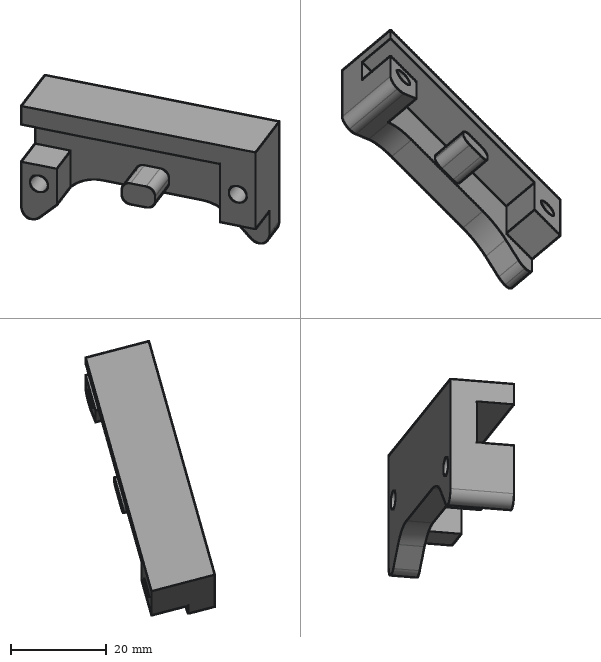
import cadquery as cq
import math

length = 52.5
depth = 13.7
half_length = length / 2

arch_height = 19.2
arch_blend_radius = 10.0
slope_angle = math.radians(45)
foot_bottom = 26.94
foot_tip_inset = 2.2
foot_tip_radius = 2.8

pocket_depth = 8.0
top_bar_height = 4.5
corner_block_width = 8.0
left_block_top = 13.5
right_block_bottom = 18.6

hole_diameter = 4.0
hole_edge_distance = corner_block_width / 2
left_hole_depth = 18.0
right_hole_depth = 11.0

peg_width = 7.5
peg_height = 5.1
peg_corner_radius = 2.0


def extrude_back(profile, distance):
    """Extrude an XZ profile from the front face toward +Y."""
    return profile.extrude(-distance)


def front_box(x_min, x_max, z_min, z_max):
    """Box reaching from the front face to the pocket floor."""
    size = (x_max - x_min, pocket_depth, z_max - z_min)
    return cq.Workplane("XY").box(*size, centered=False).translate((x_min, 0, z_min))


def polar(center, radius, angle):
    """Point on a circle in XZ, at an angle in radians measured from +X toward +Z."""
    return (center[0] + radius * math.cos(angle), center[1] + radius * math.sin(angle))


def make_half_body():
    """The +X half: arch flat, arch rounding, 45 degree slope and rounded foot."""
    down = math.radians(-90)
    up = math.radians(90)

    tip_center = (half_length - foot_tip_inset, foot_tip_radius - foot_bottom)
    arch_center_z = -arch_height - arch_blend_radius
    center_rise = tip_center[1] - arch_center_z
    radius_sum = foot_tip_radius + arch_blend_radius
    center_gap = (radius_sum - center_rise * math.cos(slope_angle)) / math.sin(slope_angle)
    arch_center = (tip_center[0] - center_gap, arch_center_z)

    def arch_point(turn):
        return polar(arch_center, arch_blend_radius, up - turn)

    def tip_point(turn):
        return polar(tip_center, foot_tip_radius, down - turn)

    profile = (
        cq.Workplane("XZ")
        .lineTo(0, -arch_height)
        .lineTo(*arch_point(0))
        .threePointArc(arch_point(slope_angle / 2), arch_point(slope_angle))
        .lineTo(*tip_point(slope_angle))
        .threePointArc(tip_point(slope_angle / 2), tip_point(0))
        .ellipseArc(foot_tip_inset, foot_tip_radius, 270, 360)
        .lineTo(half_length, 0)
        .close()
    )
    return extrude_back(profile, depth)


def make_body():
    half = make_half_body()
    return half.union(half.mirror("YZ"))


def make_pocket():
    """Region removed from the front: everything but the top bar and corner blocks."""
    block_edge = half_length - corner_block_width
    pocket = front_box(-half_length, half_length, -foot_bottom, -top_bar_height)
    left_block = front_box(-half_length, -block_edge, -foot_bottom, -left_block_top)
    right_block = front_box(block_edge, half_length, -right_block_bottom, -top_bar_height)
    return pocket.cut(left_block).cut(right_block)


def make_peg():
    profile = cq.Workplane("XZ").center(0, -left_block_top - peg_height / 2).rect(peg_width, peg_height)
    return extrude_back(profile, pocket_depth).edges("|Y").fillet(peg_corner_radius)


def make_holes():
    hole_x = half_length - hole_edge_distance
    centers = [(-hole_x, -left_hole_depth), (hole_x, -right_hole_depth)]
    profile = cq.Workplane("XZ").pushPoints(centers).circle(hole_diameter / 2)
    return extrude_back(profile, depth)


result = make_body().cut(make_pocket()).union(make_peg()).cut(make_holes())